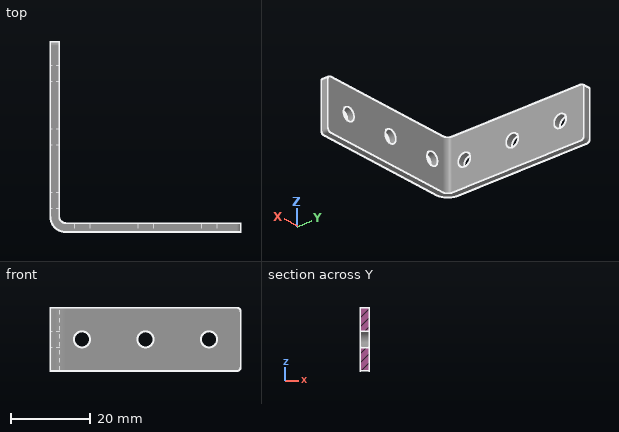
import cadquery as cq

leg_length = 48.0
width = 16.0
thickness = 2.3
inner_bend_radius = 1.6
corner_radius = 1.0
hole_diameter = 4.0
hole_pitch = 16.0
hole_count = 3

outer_bend_radius = inner_bend_radius + thickness
first_hole = leg_length / 2 - hole_pitch * (hole_count - 1) / 2
hole_positions = [first_hole + i * hole_pitch for i in range(hole_count)]


def bent_strip():
    """L-shaped strip with its outer faces on X = 0 and Y = 0 and a rounded bend."""
    strip = (
        cq.Workplane("XY")
        .polyline([
            (0, 0),
            (leg_length, 0),
            (leg_length, thickness),
            (thickness, thickness),
            (thickness, leg_length),
            (0, leg_length),
        ])
        .close()
        .extrude(width)
    )
    outer_bend_edge = cq.selectors.NearestToPointSelector((0, 0, width / 2))
    inner_bend_edge = cq.selectors.NearestToPointSelector((thickness, thickness, width / 2))
    strip = strip.edges("|Z").edges(outer_bend_edge).fillet(outer_bend_radius)
    return strip.edges("|Z").edges(inner_bend_edge).fillet(inner_bend_radius)


def round_leg_ends(strip):
    """Round the two corners at the free end of each leg."""
    strip = strip.faces(">X").edges("|Y").fillet(corner_radius)
    return strip.faces(">Y").edges("|X").fillet(corner_radius)


def leg_holes(plane, direction):
    """Row of through-hole cutters, evenly spaced along one leg at mid width."""
    centers = [(position, width / 2) for position in hole_positions]
    return (
        cq.Workplane(plane)
        .pushPoints(centers)
        .circle(hole_diameter / 2)
        .extrude(direction * thickness)
    )


bracket = round_leg_ends(bent_strip())
bracket = bracket.cut(leg_holes("XZ", -1))
bracket = bracket.cut(leg_holes("YZ", 1))

result = bracket